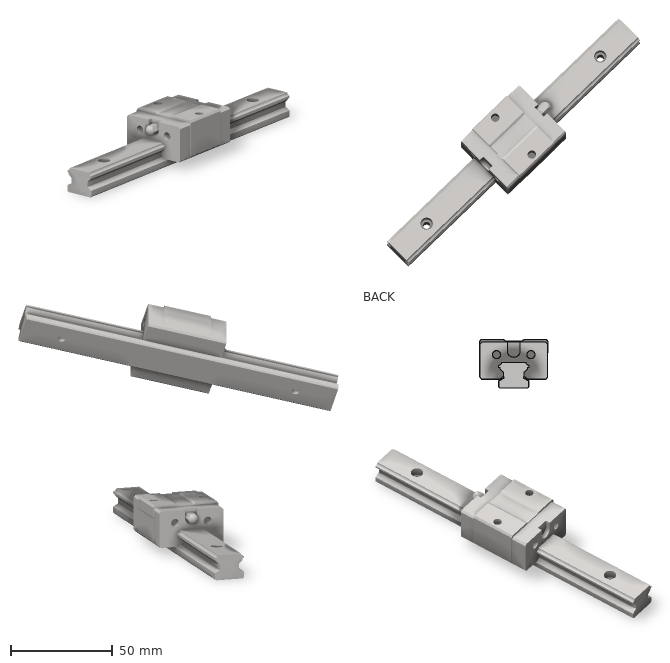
import cadquery as cq
import math

RAIL_LENGTH = 160.0
RAIL_HEIGHT = 12.6
RAIL_HALF_WIDTH = 7.5
TOP_RACEWAY_RADIUS = 1.5
LIP_INNER_HALF_WIDTH = 6.7
WAIST_HALF_WIDTH = 5.0
BASE_CHAMFER = 0.6
BASE_TOP_Z = 3.5
WAIST_BOTTOM_Z = 5.0
WAIST_TOP_Z = 7.7
UNDERCUT_SLOPE_TOP_Z = 9.3
LIP_BOTTOM_Z = 10.2

RAIL_HOLE_SPACING = 120.0
RAIL_HOLE_DIAMETER = 3.5
RAIL_BORE_DIAMETER = 6.0
RAIL_BORE_DEPTH = 4.5

CARRIAGE_LENGTH = 40.2
BLOCK_LENGTH = 23.7
CARRIAGE_BOTTOM_Z = 4.3
CARRIAGE_TOP_Z = 24.0
BLOCK_WIDTH = 34.0
BLOCK_TOP_CHAMFER_WIDTH = 0.8
BLOCK_TOP_CHAMFER_HEIGHT = 1.1
BLOCK_BOTTOM_CHAMFER = 1.3
CAP_WIDTH = 33.3
CAP_TOP_Z = 22.7
CAP_TOP_CHAMFER = 1.0
CAP_BOTTOM_CHAMFER = 0.8

LEDGE_TOP_Z = 18.0
LEDGE_BOTTOM_Z = 17.5
RELIEF_DEPTH = 0.2

MOUTH_HALF_WIDTH = 6.9
MOUTH_TOP_Z = 5.8

TROUGH_TOP_WIDTH = 10.2
TROUGH_FLOOR_WIDTH = 8.2
TROUGH_DEPTH = 0.6

BLOCK_HOLE_SPACING = 26.0
BLOCK_HOLE_DIAMETER = 4.2
BLOCK_HOLE_DEPTH = 6.0
CAP_HOLE_SPACING = 17.0
CAP_HOLE_DIAMETER = 4.0
CAP_HOLE_Z = 16.5
CAP_HOLE_DEPTH = 4.0

NOTCH_WIDTH = 6.4
NOTCH_DEPTH = 2.4
NOTCH_CENTER_Z = 18.4

NIPPLE_ACROSS_FLATS = 4.8
NIPPLE_LENGTH = NOTCH_DEPTH + 4.6
NIPPLE_DOME_RADIUS = 2.9


def mirrored_section(right_side, length):
    """Extrude an outline, given by its +X half from bottom to top, centred on Y = 0."""
    left_side = [(-x, z) for x, z in reversed(right_side)]
    return (
        cq.Workplane("XZ", origin=(0, length / 2, 0))
        .polyline(right_side + left_side)
        .close()
        .extrude(length)
    )


def rail_section(length):
    bar = mirrored_section(
        [
            (RAIL_HALF_WIDTH - BASE_CHAMFER, 0),
            (RAIL_HALF_WIDTH, BASE_CHAMFER),
            (RAIL_HALF_WIDTH, BASE_TOP_Z),
            (WAIST_HALF_WIDTH, WAIST_BOTTOM_Z),
            (WAIST_HALF_WIDTH, WAIST_TOP_Z),
            (LIP_INNER_HALF_WIDTH, UNDERCUT_SLOPE_TOP_Z),
            (LIP_INNER_HALF_WIDTH, LIP_BOTTOM_Z),
            (RAIL_HALF_WIDTH, LIP_BOTTOM_Z),
            (RAIL_HALF_WIDTH, RAIL_HEIGHT),
        ],
        length,
    )
    top_raceways = (
        cq.Workplane("XZ", origin=(0, length / 2, RAIL_HEIGHT))
        .pushPoints([(-RAIL_HALF_WIDTH, 0), (RAIL_HALF_WIDTH, 0)])
        .circle(TOP_RACEWAY_RADIUS)
        .extrude(length)
    )
    return bar.cut(top_raceways)


def make_rail():
    hole_places = [(0, -RAIL_HOLE_SPACING / 2), (0, RAIL_HOLE_SPACING / 2)]
    return (
        rail_section(RAIL_LENGTH)
        .faces(">Z")
        .workplane(origin=(0, 0, RAIL_HEIGHT))
        .pushPoints(hole_places)
        .cboreHole(RAIL_HOLE_DIAMETER, RAIL_BORE_DIAMETER, RAIL_BORE_DEPTH)
    )


def make_middle_block():
    half_width = BLOCK_WIDTH / 2
    block = mirrored_section(
        [
            (half_width - BLOCK_BOTTOM_CHAMFER, CARRIAGE_BOTTOM_Z),
            (half_width, CARRIAGE_BOTTOM_Z + BLOCK_BOTTOM_CHAMFER),
            (half_width, CARRIAGE_TOP_Z - BLOCK_TOP_CHAMFER_HEIGHT),
            (half_width - BLOCK_TOP_CHAMFER_WIDTH, CARRIAGE_TOP_Z),
            (TROUGH_TOP_WIDTH / 2, CARRIAGE_TOP_Z),
            (TROUGH_FLOOR_WIDTH / 2, CARRIAGE_TOP_Z - TROUGH_DEPTH),
        ],
        BLOCK_LENGTH,
    )
    side_relief = (
        cq.Workplane("XZ", origin=(0, BLOCK_LENGTH / 2, 0))
        .polyline(
            [
                (-half_width, LEDGE_TOP_Z),
                (RELIEF_DEPTH - half_width, LEDGE_BOTTOM_Z),
                (RELIEF_DEPTH - half_width, CARRIAGE_BOTTOM_Z),
                (-half_width, CARRIAGE_BOTTOM_Z),
            ]
        )
        .close()
        .extrude(BLOCK_LENGTH)
    )
    return block.cut(side_relief)


def make_end_caps():
    """One bar as long as the carriage; its two ends are the end caps."""
    half_width = CAP_WIDTH / 2
    return mirrored_section(
        [
            (half_width - CAP_BOTTOM_CHAMFER, CARRIAGE_BOTTOM_Z),
            (half_width, CARRIAGE_BOTTOM_Z + CAP_BOTTOM_CHAMFER),
            (half_width, CAP_TOP_Z - CAP_TOP_CHAMFER),
            (half_width - CAP_TOP_CHAMFER, CAP_TOP_Z),
        ],
        CARRIAGE_LENGTH,
    )


def make_mouth():
    return mirrored_section(
        [(MOUTH_HALF_WIDTH, CARRIAGE_BOTTOM_Z), (WAIST_HALF_WIDTH, MOUTH_TOP_Z)],
        CARRIAGE_LENGTH,
    )


def make_notch():
    """Notch running into the cap from the front face."""
    radius = NOTCH_WIDTH / 2
    return (
        cq.Workplane("XZ", origin=(0, -CARRIAGE_LENGTH / 2, NOTCH_CENTER_Z))
        .moveTo(-radius, 0)
        .threePointArc((0, -radius), (radius, 0))
        .lineTo(radius, CAP_TOP_Z - NOTCH_CENTER_Z)
        .lineTo(-radius, CAP_TOP_Z - NOTCH_CENTER_Z)
        .close()
        .extrude(-NOTCH_DEPTH)
    )


def make_cap_holes():
    """Pair of blind holes in the front face."""
    return (
        cq.Workplane("XZ", origin=(0, -CARRIAGE_LENGTH / 2, CAP_HOLE_Z))
        .pushPoints([(-CAP_HOLE_SPACING / 2, 0), (CAP_HOLE_SPACING / 2, 0)])
        .circle(CAP_HOLE_DIAMETER / 2)
        .extrude(-CAP_HOLE_DEPTH)
    )


def make_block_holes():
    return (
        cq.Workplane("XY", origin=(0, 0, CARRIAGE_TOP_Z))
        .pushPoints([(-BLOCK_HOLE_SPACING / 2, 0), (BLOCK_HOLE_SPACING / 2, 0)])
        .circle(BLOCK_HOLE_DIAMETER / 2)
        .extrude(-BLOCK_HOLE_DEPTH)
    )


def make_carriage():
    carriage = make_end_caps().union(make_middle_block())
    carriage = carriage.cut(rail_section(CARRIAGE_LENGTH)).cut(make_mouth()).cut(make_block_holes())
    for front_cut in (make_notch(), make_cap_holes()):
        carriage = carriage.cut(front_cut).cut(front_cut.mirror("XZ"))
    return carriage


def make_nipple():
    corner_radius = NIPPLE_ACROSS_FLATS / 2 / math.cos(math.pi / 6)
    dome_sag = NIPPLE_DOME_RADIUS - math.sqrt(NIPPLE_DOME_RADIUS**2 - corner_radius**2)
    seat_y = -CARRIAGE_LENGTH / 2 + NOTCH_DEPTH
    hexagon = (
        cq.Workplane("XZ", origin=(0, seat_y, NOTCH_CENTER_Z))
        .polygon(6, 2 * corner_radius)
        .extrude(NIPPLE_LENGTH)
    )
    dome_mid_angle = math.asin(corner_radius / NIPPLE_DOME_RADIUS) / 2
    dome_center_y = NIPPLE_DOME_RADIUS - NIPPLE_LENGTH
    dome_mid_point = (
        NIPPLE_DOME_RADIUS * math.sin(dome_mid_angle),
        dome_center_y - NIPPLE_DOME_RADIUS * math.cos(dome_mid_angle),
    )
    domed_rod = (
        cq.Workplane("XY", origin=(0, seat_y, NOTCH_CENTER_Z))
        .lineTo(corner_radius, 0)
        .lineTo(corner_radius, dome_sag - NIPPLE_LENGTH)
        .threePointArc(dome_mid_point, (0, -NIPPLE_LENGTH))
        .close()
        .revolve(360, (0, 0, 0), (0, 1, 0))
    )
    return hexagon.intersect(domed_rod)


rail = make_rail()
carriage = make_carriage()
nipple = make_nipple()

result = cq.Compound.makeCompound([rail.val(), carriage.val(), nipple.val()])